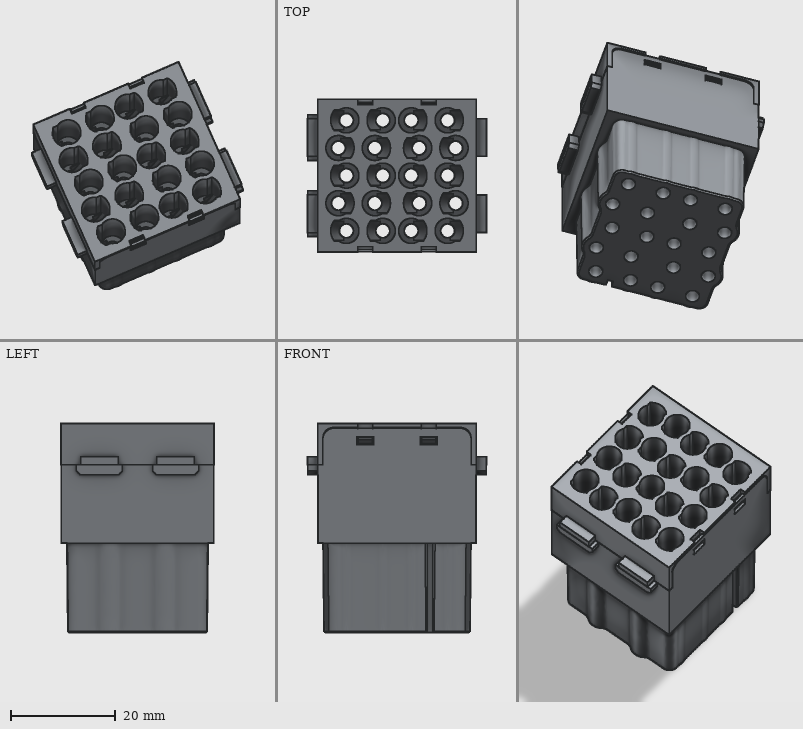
import cadquery as cq
import math

height = 39.9
lid_x = 30.3
lid_y = 29.2
span_x = 34.2
housing_bottom = 17.08
seam_z = 32.0
lid_overhang = 0.05
housing_x = lid_x - 2 * lid_overhang
housing_y = lid_y - 2 * lid_overhang

row_pitch = 5.25
column_pitch = 6.95
odd_inner_x = 2.7
even_inner_x = 4.23
bore_d = 4.8
contact_d = 2.65
bore_floor = 23.95
notch_radius = 3.0
notch_width = 4.0
funnel_height = 7.98
funnel_width = 3.67
funnel_offset = 0.48

odd_outer_x = odd_inner_x + column_pitch
even_outer_x = even_inner_x + column_pitch
outer_row_y = 2 * row_pitch
lobe_radius = 2.95
lobe_blend = 1.6
plug_half_x = 13.15
plug_half_y = 13.35
plug_corner = 1.9
plug_draft = 0.6
plug_end_chamfer = 0.3
key_slot_x = 6.3
key_slot_width = 1.1
key_slot_depth = 1.6
key_slot_mouth = 0.4

panel_half_x = 14.12
panel_top = 39.15
panel_corner = 2.05
panel_gap = 0.15
panel_gap_depth = 0.15

latch_x = 6.05
window_width = 3.25
window_bottom = 35.85
window_top = 37.4
window_depth = 0.85
hook_width = 2.65
hook_bottom = 36.03
hook_top = 37.23
hook_length = 0.5
hook_ramp_height = 0.8
notch_mouth_width = 2.85
notch_ledge_depth = 0.6
notch_depth = 1.08
notch_ramp_drop = 0.8

tab_y = 7.25
tab_top = 33.6
tab_bottom = 30.1
tab_width = 7.2
wide_tab_width = 8.78
tab_chamfer = 0.75
tab_root = 0.4


def box(size_x, size_y, z_low, z_high):
    """Box centred on the Z axis between two heights."""
    return cq.Workplane("XY").workplane(offset=z_low).rect(size_x, size_y).extrude(z_high - z_low)


def lobe_points(face, lobe_axis):
    """Points of one lobe on a flat face, as (distance along, distance out) from the lobe axis.

    The lobe is an arc about a contact, joined to the face by a hollow blend on each side.
    """
    reach = lobe_radius + lobe_blend
    angle = math.acos((face + lobe_blend - lobe_axis) / reach)

    def on_blend(a):
        return reach * math.sin(angle) - lobe_blend * math.sin(a), face + lobe_blend - lobe_blend * math.cos(a)

    start = on_blend(0)
    middle = on_blend(angle / 2)
    end = on_blend(angle)
    crest = (0, lobe_axis + lobe_radius)
    left = [(-along, out) for along, out in (start, middle, end)]
    return left + [crest] + [end, middle, start]


def plug_outline():
    """Closed outline of the insertion end at the housing, drawn clockwise from the +Y side."""
    odd_lobes = [-odd_outer_x, -odd_inner_x, odd_inner_x, odd_outer_x]
    even_lobes = [-row_pitch, row_pitch]
    y_side = (plug_half_y, outer_row_y, odd_lobes, plug_half_x)
    x_side = (plug_half_x, even_outer_x, even_lobes, plug_half_y)
    corner_mid = plug_corner * (1 - math.sqrt(0.5))
    outline = cq.Workplane("XY").workplane(offset=housing_bottom)
    outline = outline.moveTo(-plug_half_x + plug_corner, plug_half_y)
    for quarter, side in enumerate([y_side, x_side, y_side, x_side]):
        face, lobe_axis, lobes, half_length = side
        turn = -quarter * math.pi / 2

        def place(along, out):
            return (
                along * math.cos(turn) - out * math.sin(turn),
                along * math.sin(turn) + out * math.cos(turn),
            )

        for lobe in lobes:
            points = [place(lobe + along, out) for along, out in lobe_points(face, lobe_axis)]
            outline = outline.lineTo(*points[0])
            outline = outline.threePointArc(points[1], points[2])
            outline = outline.threePointArc(points[3], points[4])
            outline = outline.threePointArc(points[5], points[6])
        outline = outline.lineTo(*place(half_length - plug_corner, face))
        outline = outline.threePointArc(
            place(half_length - corner_mid, face - corner_mid),
            place(half_length, face - plug_corner),
        )
    return outline.close()


def key_slot():
    """Slot along the -Y side of the insertion end, with a chamfered mouth."""
    half = key_slot_width / 2
    flare = half + key_slot_mouth
    inner = -plug_half_y + key_slot_depth
    throat = -plug_half_y + key_slot_mouth
    outside = -lid_y / 2
    profile = cq.Workplane("XY").center(key_slot_x, 0).polyline([
        (-half, inner),
        (-half, throat),
        (-flare, -plug_half_y),
        (-flare, outside),
        (flare, outside),
        (flare, -plug_half_y),
        (half, throat),
        (half, inner),
    ])
    return profile.close().extrude(housing_bottom)


def plug():
    body = plug_outline().extrude(-housing_bottom, taper=plug_draft)
    body = body.faces("<Z").chamfer(plug_end_chamfer)
    return body.cut(key_slot())


def panel_shape(inset):
    """Panel outline on the XZ plane, cut back from the lid opening by the inset along the top."""
    return (
        cq.Workplane("XZ")
        .moveTo(-panel_half_x, seam_z)
        .lineTo(-panel_half_x, panel_top - panel_corner)
        .radiusArc((-panel_half_x + panel_corner, panel_top - inset), panel_corner)
        .lineTo(panel_half_x - panel_corner, panel_top - inset)
        .radiusArc((panel_half_x, panel_top - panel_corner), panel_corner)
        .lineTo(panel_half_x, seam_z)
        .close()
    )


def shell():
    """Housing and lid, with the panel framed on the -Y and +Y sides."""
    groove_y = housing_y - 2 * panel_gap_depth
    housing = box(housing_x, housing_y, housing_bottom, seam_z)
    lid = box(lid_x, lid_y, seam_z, height)
    opening = panel_shape(0).extrude(lid_y / 2, both=True)
    panel = panel_shape(panel_gap).extrude(housing_y / 2, both=True)
    lid = lid.cut(opening.cut(box(lid_x, groove_y, seam_z, height)))
    return housing.union(lid).union(panel)


def latch_cut():
    """Latch window with its hook and the lid notch above it, on the -Y side at X = 0."""
    front = -lid_y / 2
    wall = front + window_depth
    hook_face = wall - hook_length
    ledge = panel_top - panel_gap
    window = cq.Workplane("XY").box(
        window_width, window_depth, window_top - window_bottom, centered=(True, False, False)
    ).translate((0, front, window_bottom))
    hook = (
        cq.Workplane("YZ")
        .moveTo(wall, hook_top)
        .lineTo(hook_face, hook_top)
        .lineTo(hook_face, hook_bottom + hook_ramp_height)
        .lineTo(wall, hook_bottom)
        .close()
        .extrude(hook_width / 2, both=True)
    )
    notch = (
        cq.Workplane("YZ")
        .moveTo(front, height)
        .lineTo(front, ledge)
        .lineTo(front + notch_ledge_depth, ledge)
        .lineTo(front + notch_depth, ledge - notch_ramp_drop)
        .lineTo(front + notch_depth, height)
        .close()
        .extrude(notch_mouth_width / 2, both=True)
    )
    return window.cut(hook).union(notch)


def cavity(notch_side):
    """One contact cavity on the Z axis; notch_side is +1 or -1 for a notch toward +X or -X."""
    contact = cq.Workplane("XY").circle(contact_d / 2).extrude(height)
    bore = cq.Workplane("XY").workplane(offset=bore_floor).circle(bore_d / 2).extrude(height - bore_floor)
    notch = cq.Workplane("XY").workplane(offset=bore_floor).circle(notch_radius).extrude(height - bore_floor)
    funnel = (
        cq.Workplane("XY")
        .workplane(offset=bore_floor - funnel_height)
        .circle(contact_d / 2)
        .workplane(offset=funnel_height)
        .circle(notch_radius)
        .loft()
    )
    notch_limit = box(2 * notch_radius, notch_width, 0, height)
    funnel_limit = box(2 * notch_radius, funnel_width, 0, height)
    notch = notch.intersect(notch_limit.translate((notch_side * (notch_radius + funnel_offset), 0, 0)))
    funnel = funnel.intersect(funnel_limit.translate((notch_side * (notch_radius + funnel_offset), 0, 0)))
    return contact.union(bore).union(notch).union(funnel)


def cavities():
    """All cavities; notches face outward in odd rows and toward the X centre in even rows."""
    by_side = {side: cavity(side).val() for side in (-1, 1)}
    shapes = []
    for row in range(-2, 3):
        odd_row = row % 2 == 0
        inner_x = odd_inner_x if odd_row else even_inner_x
        for half in (-1, 1):
            notch_side = half if odd_row else -half
            for x in (inner_x, inner_x + column_pitch):
                shapes.append(by_side[notch_side].translate(cq.Vector(half * x, row * row_pitch, 0)))
    return cq.Workplane(obj=cq.Compound.makeCompound(shapes))


def tab(lower_width):
    """Coding tab pointing to +X at Y = 0; the lower part belongs to the housing and is set back like it."""
    root = housing_x / 2 - tab_root
    end = span_x / 2
    low = lower_width / 2
    foot = low - tab_chamfer
    chamfer_z = tab_bottom + tab_chamfer
    lower = (
        cq.Workplane("YZ", origin=(root, 0, 0))
        .polyline([(-low, seam_z), (-low, chamfer_z), (-foot, tab_bottom),
                   (foot, tab_bottom), (low, chamfer_z), (low, seam_z)])
        .close()
        .extrude(end - lid_overhang - root)
    )
    upper = box(end - root, tab_width, seam_z, tab_top).translate(((root + end) / 2, 0, 0))
    return lower.union(upper)


def tabs():
    """Two tabs on each X side; the -X ones are wider below the lid."""
    shapes = []
    for y in (-tab_y, tab_y):
        shapes.append(tab(tab_width).translate((0, y, 0)))
        shapes.append(tab(wide_tab_width).mirror("YZ").translate((0, y, 0)))
    return shapes


result = shell().union(plug())
for side in (-1, 1):
    latch = latch_cut().translate((side * latch_x, 0, 0))
    result = result.cut(latch).cut(latch.mirror("XZ"))
for shape in tabs():
    result = result.union(shape)
result = result.cut(cavities())